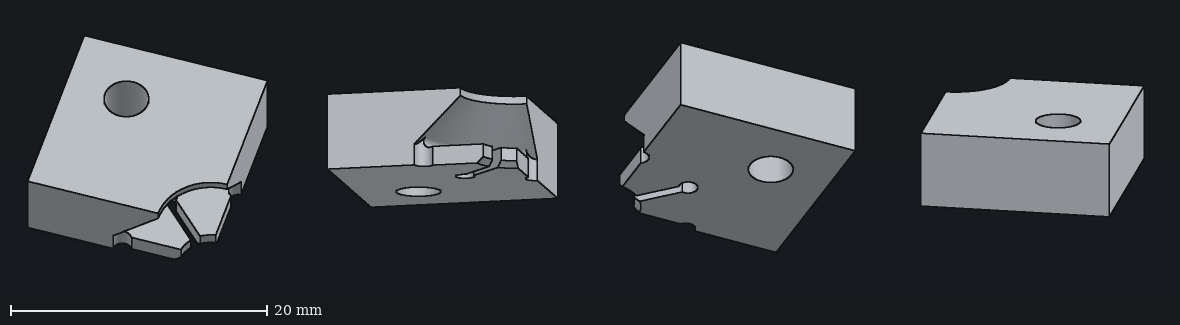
import cadquery as cq
import math

side = 15.0
height = 6.0
axis_x = side

hole_diameter = 3.5
hole_x = side / 3
hole_y = 2 * side / 3

mouth_radius = 4.3
lip_height = 0.63
floor_z = 1.5
root_fillet = 0.5
lip_z = height - lip_height
floor_radius = mouth_radius + lip_z - floor_z

bore_radius = 2.6
bore_chamfer = 0.5
slot_width = 0.8
relief_radius = 0.75
relief_circle_radius = 7.25
slot_rise = floor_radius - relief_circle_radius
slot_angles = (90, 135, 180)


def revolve_about_axis(profile):
    """Turn an (r, z) profile around the collet axis."""
    return profile.close().revolve(360, (0, 0, 0), (0, 1, 0)).translate((axis_x, 0, 0))


def conical_recess():
    tangent_length = root_fillet / math.tan(math.radians(22.5))
    cone_step = tangent_length * math.sin(math.radians(45))
    floor_tangent = (floor_radius - tangent_length, floor_z)
    cone_tangent = (floor_radius - cone_step, floor_z + cone_step)
    arc_middle = (floor_tangent[0] + root_fillet * math.cos(math.radians(22.5)),
                  floor_z + root_fillet * (1 - math.sin(math.radians(22.5))))
    profile = (
        cq.Workplane("XZ")
        .moveTo(0, floor_z)
        .lineTo(*floor_tangent)
        .threePointArc(arc_middle, cone_tangent)
        .lineTo(mouth_radius, lip_z)
        .lineTo(mouth_radius, height)
        .lineTo(0, height)
    )
    return revolve_about_axis(profile)


def finger_bore():
    profile = (
        cq.Workplane("XZ")
        .lineTo(bore_radius + bore_chamfer, 0)
        .lineTo(bore_radius, bore_chamfer)
        .lineTo(bore_radius, floor_z)
        .lineTo(0, floor_z)
    )
    return revolve_about_axis(profile)


def below_cone():
    """Space under the low part of the cone, continued down to the bottom face."""
    profile = (
        cq.Workplane("XZ")
        .lineTo(floor_radius + floor_z, 0)
        .lineTo(floor_radius - slot_rise, floor_z + slot_rise)
        .lineTo(0, floor_z + slot_rise)
    )
    return revolve_about_axis(profile)


def finger_slot(angle):
    """Radial slot ending in a round relief hole, trimmed by the cone above."""
    slot = (
        cq.Workplane("XY")
        .rect(relief_circle_radius, slot_width)
        .extrude(floor_z)
        .translate((relief_circle_radius / 2, 0, 0))
    )
    relief = cq.Workplane("XY").center(relief_circle_radius, 0).circle(relief_radius).extrude(lip_z)
    cutter = slot.union(relief).rotate((0, 0, 0), (0, 0, 1), angle).translate((axis_x, 0, 0))
    return cutter.intersect(below_cone())


result = cq.Workplane("XY").box(side, side, height, centered=False)
result = result.cut(
    cq.Workplane("XY").center(hole_x, hole_y).circle(hole_diameter / 2).extrude(height)
)
recess = conical_recess().union(finger_bore())
for slot_angle in slot_angles:
    recess = recess.union(finger_slot(slot_angle))
result = result.cut(recess)